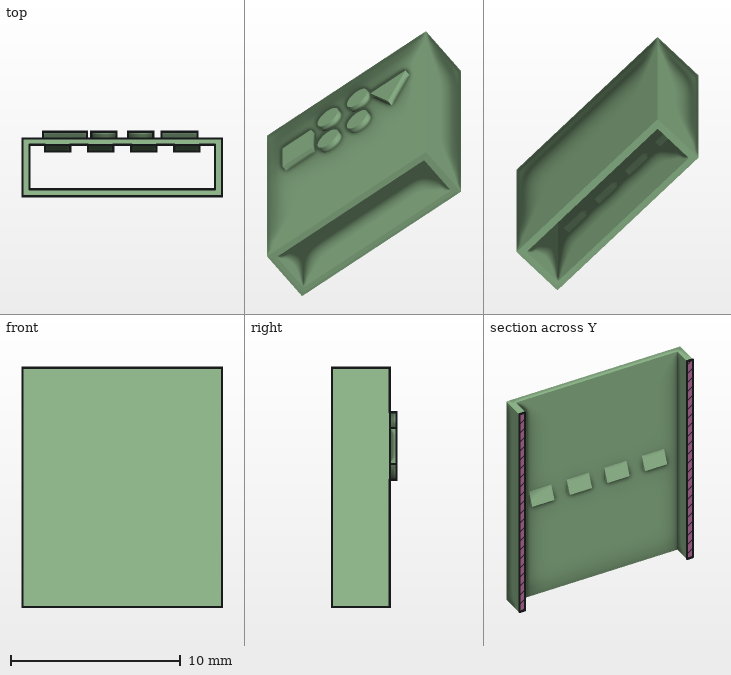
import cadquery as cq
import math

width = 11.76
depth = 3.41
height = 14.1
wall = 0.425
symbol_wall = 0.385

symbol_height = 0.4
symbol_circle = 3.0
symbol_x = 3.37
symbol_z = 2.44
dot_diameter = 1.5
dot_spacing_x = 2.16
dot_spacing_z = 2.5

latch_count = 4
latch_pitch = 2.54
latch_width = 1.5
latch_rise = 0.4
latch_ramp_angle = 65
latch_length = latch_rise * math.tan(math.radians(latch_ramp_angle))
latch_top_z = latch_length / 2

outer_face_y = depth / 2
inner_face_y = outer_face_y - symbol_wall


def make_sleeve():
    """Box with a rectangular passage running through it along Z."""
    cavity_width = width - 2 * wall
    cavity_depth = depth - wall - symbol_wall
    cavity_y = (wall - symbol_wall) / 2
    outer = cq.Workplane("XY").box(width, depth, height)
    cavity = cq.Workplane("XY").center(0, cavity_y).box(cavity_width, cavity_depth, height)
    return outer.cut(cavity)


def symbol_plane(x):
    """Sketch plane on the outer +Y face at the symbol height; its normal points to -Y."""
    return cq.Workplane("XZ", origin=(x, outer_face_y, symbol_z))


def make_polygon(x, sides, first_angle):
    """Regular polygon pad, with its first corner at the given angle from +X in degrees."""
    radius = symbol_circle / 2
    angles = [math.radians(first_angle + 360 * i / sides) for i in range(sides)]
    corners = [(radius * math.cos(a), radius * math.sin(a)) for a in angles]
    return symbol_plane(x).polyline(corners).close().extrude(-symbol_height)


def make_dots():
    """Two by two grid of round pads."""
    grid = symbol_plane(0).rarray(dot_spacing_x, dot_spacing_z, 2, 2)
    return grid.circle(dot_diameter / 2).extrude(-symbol_height)


def make_latch(x):
    """Wedge whose ramp slopes down and away from the wall to a flat underside."""
    bottom_z = latch_top_z - latch_length
    profile = [
        (inner_face_y, latch_top_z),
        (inner_face_y - latch_rise, bottom_z),
        (inner_face_y, bottom_z),
    ]
    start = cq.Workplane("YZ", origin=(x - latch_width / 2, 0, 0))
    return start.polyline(profile).close().extrude(latch_width)


result = make_sleeve()
result = result.union(make_polygon(-symbol_x, 3, -90))
result = result.union(make_dots())
result = result.union(make_polygon(symbol_x, 4, 45))
for index in range(latch_count):
    latch_x = (index - (latch_count - 1) / 2) * latch_pitch
    result = result.union(make_latch(latch_x))